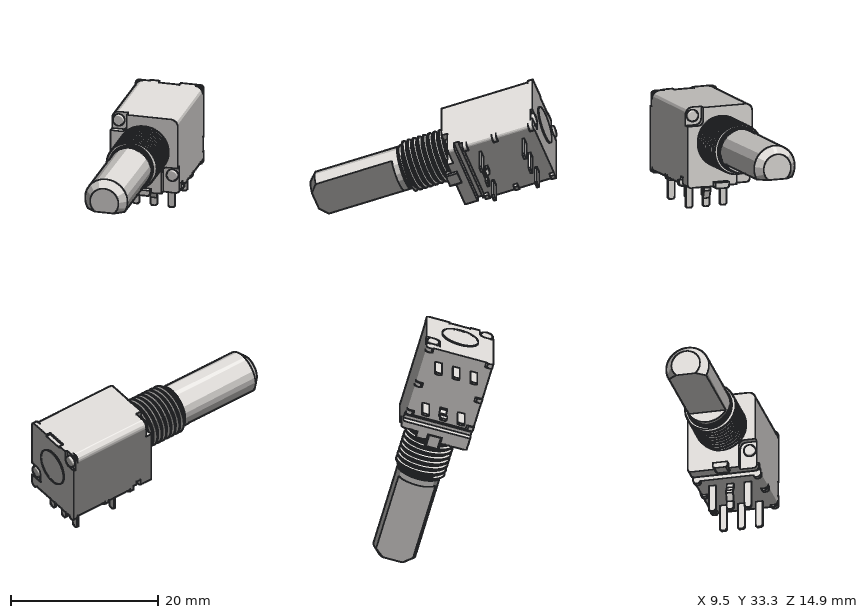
import cadquery as cq


BODY_WIDTH = 9.5
BODY_TOP = 4.8
BODY_BOTTOM = -6.25
OVERALL_HEIGHT = 14.85
HOUSING_LENGTH = 2.5
BODY_LENGTH = 13.15
TOP_RADIUS = 1.0
BOTTOM_RADIUS = 0.5
REAR_RIM_LENGTH = 0.65
REAR_RIM_RADIUS = 0.5
REAR_RIM_START = BODY_LENGTH - REAR_RIM_LENGTH
HALF_WIDTH = BODY_WIDTH / 2

HOUSING_NOTCH_START = 1.8
HOUSING_NOTCH_TOP = -5.05
CASE_NOTCH_END = 3.0
CASE_NOTCH_TOP = -5.55
FOOT_SPANS = ((CASE_NOTCH_END, 3.6), (7.25, 7.85), (REAR_RIM_START, BODY_LENGTH))
FOOT_WIDTH = 1.05
FOOT_SLOPE = 0.25
FOOT_DROP = 0.3

NUB_WIDTH = 2.0
NUB_TOP = BODY_BOTTOM + 0.6
NUB_BOTTOM = BODY_BOTTOM - 0.2
NUB_FRONT = -0.8
NUB_REAR = 0.85
NUB_CHAMFER = 0.2

RIVET_X = -3.78
RIVET_Z = 3.65
RIVET_RADIUS = 0.8
RIVET_EDGE = 0.18
FRONT_POCKET_X = -2.45
FRONT_POCKET_Z = 2.3
FRONT_POCKET_DEPTH = 0.85
POCKET_RADIUS = 0.8
FRONT_RIVET_HEIGHT = 0.45
REAR_POCKET_X = -2.8
REAR_POCKET_Z = 2.65
REAR_POCKET_DEPTH = 0.3
REAR_PROUD = 0.15

REAR_NOTCH_WIDTH = 2.95
REAR_NOTCH_DEPTH = 0.3
REAR_DISC_RADIUS = 2.55

THREAD_RADIUS = 3.5
ROOT_RADIUS = 3.1
THREAD_PITCH = 0.75
THREAD_LENGTH = 6.5
THREAD_BASE = 0.64
THREAD_CREST = 0.18
THREAD_EMBED = 0.05
THREAD_START = 0.63
THREAD_CLIP = 0.2
BUSHING_LENGTH = 6.95
BUSHING_CHAMFER = 0.15

SHAFT_RADIUS = 3.0
NECK_RADIUS = 2.85
NECK_LENGTH = 7.1
SHAFT_LENGTH = 20.0
SHAFT_CHAMFER = 1.0
FLAT_START = 8.0
FLAT_Z = -1.5

PIN_SPACING = 2.5
PIN_ROWS = (4.95, 11.18)
PIN_WIDTH = 0.96
PIN_THICKNESS = 0.3
PIN_TIP = BODY_TOP - OVERALL_HEIGHT
PIN_CHAMFER = 0.22
PIN_EMBED = 0.5
PIN_ROOT = BODY_BOTTOM + PIN_EMBED
KINK_TOP = -6.8
KINK_PEAK_TOP = -7.4
KINK_PEAK_BOTTOM = -7.8
KINK_BOTTOM = -8.9
KINK_REACH = 0.37


def box(x_min, x_max, y_min, y_max, z_min, z_max):
    """Box between two opposite corners."""
    size = (x_max - x_min, y_max - y_min, z_max - z_min)
    return cq.Workplane("XY").box(*size, centered=False).translate((x_min, y_min, z_min))


def half_turn(shape):
    """Copy of a shape turned half way round the shaft axis."""
    return shape.rotate((0, 0, 0), (0, 1, 0), 180)


def body_block(y_min, y_max, top_radius):
    """Length of the body with rounded long edges."""
    block = box(-HALF_WIDTH, HALF_WIDTH, y_min, y_max, BODY_BOTTOM, BODY_TOP)
    block = block.edges("|Y and >Z").fillet(top_radius)
    return block.edges("|Y and <Z").fillet(BOTTOM_RADIUS)


def corner_pocket(x_inner, z_inner, y_min, y_max):
    """Pocket open at the upper left corner of the body, with its inner corner rounded."""
    pocket = box(-HALF_WIDTH, x_inner, y_min, y_max, z_inner, BODY_TOP)
    return pocket.edges("|Y and >X and <Z").fillet(POCKET_RADIUS)


def opposite_front_pocket(pocket):
    """Opposite corner pocket, carried down to the lower face of the body."""
    opposite = half_turn(pocket)
    return opposite.union(opposite.translate((0, 0, BODY_BOTTOM + BODY_TOP)))


def make_housing():
    """Front part of the body with the two rivet pockets and a notch across its underside."""
    housing = body_block(0, HOUSING_LENGTH, TOP_RADIUS)
    notch = box(-HALF_WIDTH, HALF_WIDTH, HOUSING_NOTCH_START, HOUSING_LENGTH, BODY_BOTTOM, HOUSING_NOTCH_TOP)
    pocket = corner_pocket(FRONT_POCKET_X, FRONT_POCKET_Z, 0, FRONT_POCKET_DEPTH)
    return housing.cut(notch).cut(pocket).cut(opposite_front_pocket(pocket))


def make_foot(y_min, y_max):
    """Bent tab that stands below the left lower edge of the case."""
    outer = -HALF_WIDTH
    inner = outer + FOOT_WIDTH
    bottom = BODY_BOTTOM - FOOT_DROP
    corner = BOTTOM_RADIUS
    profile = (
        cq.Workplane("XZ", origin=(0, y_max, 0))
        .moveTo(outer, BODY_BOTTOM + corner)
        .lineTo(outer, bottom + corner)
        .radiusArc((outer + corner, bottom), -corner)
        .lineTo(inner - FOOT_SLOPE, bottom)
        .lineTo(inner, BODY_BOTTOM)
        .lineTo(inner, BODY_BOTTOM + corner)
        .close()
    )
    return profile.extrude(y_max - y_min)


def make_case():
    """Rear part of the body with its bent feet, rear pockets, top notch and raised disc."""
    case = body_block(HOUSING_LENGTH, REAR_RIM_START, TOP_RADIUS)
    case = case.union(body_block(REAR_RIM_START, BODY_LENGTH, REAR_RIM_RADIUS))
    case = case.cut(box(-HALF_WIDTH, HALF_WIDTH, HOUSING_LENGTH, CASE_NOTCH_END, BODY_BOTTOM, CASE_NOTCH_TOP))
    for y_min, y_max in FOOT_SPANS:
        foot = make_foot(y_min, y_max)
        case = case.union(foot).union(foot.mirror("YZ"))
    pocket = corner_pocket(REAR_POCKET_X, REAR_POCKET_Z, BODY_LENGTH - REAR_POCKET_DEPTH, BODY_LENGTH)
    case = case.cut(pocket).cut(half_turn(pocket))
    half_notch = REAR_NOTCH_WIDTH / 2
    case = case.cut(
        box(-half_notch, half_notch, REAR_RIM_START, BODY_LENGTH, BODY_TOP - REAR_NOTCH_DEPTH, BODY_TOP)
    )
    disc = cq.Workplane("XZ", origin=(0, BODY_LENGTH, 0)).circle(REAR_DISC_RADIUS).extrude(-REAR_PROUD)
    return case.union(disc)


def make_rivets():
    """Four rivet heads: a pair in the front pockets and a pair in the rear pockets."""
    front = cq.Workplane("XZ", origin=(0, FRONT_POCKET_DEPTH, 0)).center(RIVET_X, RIVET_Z)
    front = front.circle(RIVET_RADIUS).extrude(FRONT_RIVET_HEIGHT).faces("<Y").edges().fillet(RIVET_EDGE)
    rear = cq.Workplane("XZ", origin=(0, BODY_LENGTH - REAR_POCKET_DEPTH, 0)).center(RIVET_X, RIVET_Z)
    rear = rear.circle(RIVET_RADIUS).extrude(-REAR_POCKET_DEPTH - REAR_PROUD)
    rear = rear.faces(">Y").edges().fillet(RIVET_EDGE)
    return [front, half_turn(front), rear, half_turn(rear)]


def make_nub():
    """Locating nub that sticks out of the front face at the lower edge."""
    nub = box(-NUB_WIDTH / 2, NUB_WIDTH / 2, NUB_FRONT, NUB_REAR, NUB_BOTTOM, NUB_TOP)
    return nub.edges("|Y and <Z").chamfer(NUB_CHAMFER)


def make_thread():
    """Helical ridge made along +Z, turned to run along -Y and cut square at both ends."""
    flank_slope = (THREAD_BASE - THREAD_CREST) / 2 / (THREAD_RADIUS - ROOT_RADIUS)
    inner_radius = ROOT_RADIUS - THREAD_EMBED
    half_base = THREAD_CREST / 2 + flank_slope * (THREAD_RADIUS - inner_radius)
    path = cq.Wire.makeHelix(THREAD_PITCH, THREAD_START + THREAD_LENGTH + THREAD_PITCH, ROOT_RADIUS)
    ridge = (
        cq.Workplane("XZ")
        .moveTo(inner_radius, -half_base)
        .lineTo(THREAD_RADIUS, -THREAD_CREST / 2)
        .lineTo(THREAD_RADIUS, THREAD_CREST / 2)
        .lineTo(inner_radius, half_base)
        .close()
        .sweep(cq.Workplane(path), isFrenet=True)
    )
    ridge = ridge.rotate((0, 0, 0), (1, 0, 0), 90).translate((0, THREAD_START, 0))
    span = cq.Workplane("XZ", origin=(0, THREAD_CLIP, 0)).rect(BODY_WIDTH, BODY_WIDTH)
    return ridge.intersect(span.extrude(THREAD_CLIP + THREAD_LENGTH))


def make_bushing():
    """Bushing core with its external thread."""
    core = cq.Workplane("XZ").circle(ROOT_RADIUS).extrude(BUSHING_LENGTH)
    core = core.faces("<Y").edges().chamfer(BUSHING_CHAMFER)
    return core.union(make_thread(), clean=False)


def make_shaft():
    """Round shaft with a coned tip and a flat on its underside."""
    shaft = (
        cq.Workplane("YZ")
        .moveTo(0, 0)
        .lineTo(0, NECK_RADIUS)
        .lineTo(-NECK_LENGTH, NECK_RADIUS)
        .lineTo(-NECK_LENGTH, SHAFT_RADIUS)
        .lineTo(-SHAFT_LENGTH + SHAFT_CHAMFER, SHAFT_RADIUS)
        .lineTo(-SHAFT_LENGTH, SHAFT_RADIUS - SHAFT_CHAMFER)
        .lineTo(-SHAFT_LENGTH, 0)
        .close()
        .revolve(360, (0, 0, 0), (1, 0, 0))
    )
    flat = box(-SHAFT_RADIUS, SHAFT_RADIUS, -SHAFT_LENGTH, -FLAT_START, -SHAFT_RADIUS, FLAT_Z)
    return shaft.cut(flat)


def make_pin(x, y):
    """Straight terminal with a chamfered tip."""
    pin = box(
        x - PIN_WIDTH / 2, x + PIN_WIDTH / 2,
        y - PIN_THICKNESS / 2, y + PIN_THICKNESS / 2,
        PIN_TIP, PIN_ROOT,
    )
    return pin.edges("|Y and <Z").chamfer(PIN_CHAMFER)


def make_kinked_pin(y):
    """Middle terminal whose strip is bent forward below the body."""
    front = y - PIN_THICKNESS / 2
    peak = front - KINK_REACH
    bend = [
        (front, KINK_TOP),
        (peak, KINK_PEAK_TOP),
        (peak, KINK_PEAK_BOTTOM),
        (front, KINK_BOTTOM),
    ]
    front_edge = [(front, PIN_ROOT)] + bend + [(front, PIN_TIP)]
    rear_edge = [(edge_y + PIN_THICKNESS, z) for edge_y, z in reversed(front_edge)]
    pin = cq.Workplane("YZ").polyline(front_edge + rear_edge).close().extrude(PIN_WIDTH / 2, both=True)
    return pin.edges("|Y and <Z").chamfer(PIN_CHAMFER)


def make_pins():
    """Two rows of three terminals; the middle one of the front row is kinked."""
    front_row, rear_row = PIN_ROWS
    pins = [make_pin(x, y) for y in PIN_ROWS for x in (-PIN_SPACING, PIN_SPACING)]
    return pins + [make_kinked_pin(front_row), make_pin(0, rear_row)]


result = make_housing().union(make_case(), clean=False)
for piece in [make_nub(), make_bushing(), make_shaft()] + make_rivets() + make_pins():
    result = result.union(piece, clean=False)